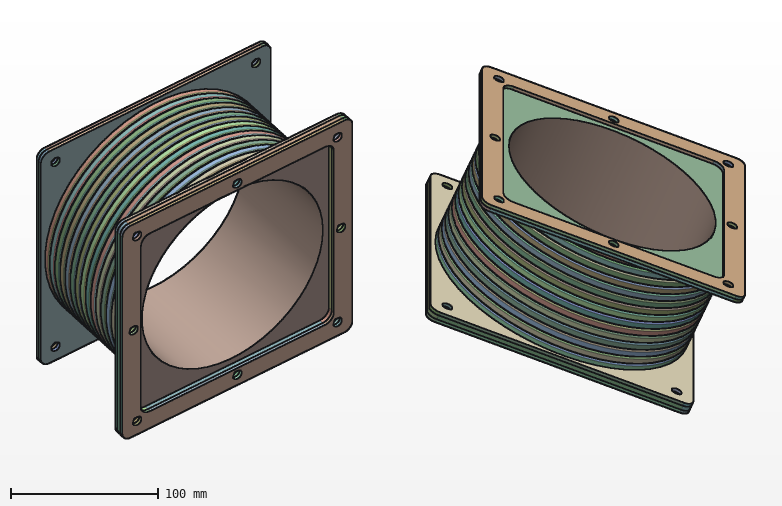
import cadquery as cq
import math

side = 193.7
total_length = 98.4
bore_diameter = 152.5
barrel_diameter = 186.9

frame_thickness = 2.5
flange_thickness = 2.5
gasket_thickness = 3.3

plate_corner_radius = 6.8
flange_corner_radius = 7.2

window_side = 162.5
window_corner_radius = 7.5

hole_diameter = 7.2
corner_hole_inset = 12.4
middle_hole_inset = 9.5

groove_count = 14
shoulder_radius = 1.25
end_groove_offset = 4.5

frame_start = -total_length / 2
spool_start = frame_start + frame_thickness
cover_start = total_length / 2 - frame_thickness
gasket_start = cover_start - gasket_thickness
spool_length = gasket_start - spool_start
barrel_start = spool_start + flange_thickness
barrel_length = spool_length - 2 * flange_thickness
groove_pitch = (barrel_length - 2 * end_groove_offset) / (groove_count - 1)


def rounded_square(start, thickness, width, corner_radius):
    """Square slab across X with its four corners rounded."""
    return (
        cq.Workplane("YZ", origin=(start, 0, 0))
        .rect(width, width)
        .extrude(thickness)
        .edges("|X")
        .fillet(corner_radius)
    )


def cylinder(start, length, diameter):
    """Cylinder on the X axis."""
    return cq.Workplane("YZ", origin=(start, 0, 0)).circle(diameter / 2).extrude(length)


def bolt_holes():
    """Four corner holes and four mid-side holes running the full length of the part."""
    corner = side / 2 - corner_hole_inset
    middle = side / 2 - middle_hole_inset
    corners = [(y, z) for y in (-corner, corner) for z in (-corner, corner)]
    middles = [(-middle, 0), (middle, 0), (0, -middle), (0, middle)]
    return (
        cq.Workplane("YZ", origin=(frame_start, 0, 0))
        .pushPoints(corners + middles)
        .circle(hole_diameter / 2)
        .extrude(total_length)
    )


def barrel_groove(centre_x):
    """Ring that cuts one groove: two quarter-round shoulders meeting in a cusp at the bottom."""
    barrel_radius = barrel_diameter / 2
    bottom = barrel_radius - shoulder_radius
    arc_inset = shoulder_radius * (1 - math.sqrt(0.5))
    return (
        cq.Workplane("XY")
        .moveTo(centre_x - shoulder_radius, barrel_radius)
        .threePointArc((centre_x - arc_inset, barrel_radius - arc_inset), (centre_x, bottom))
        .threePointArc(
            (centre_x + arc_inset, barrel_radius - arc_inset),
            (centre_x + shoulder_radius, barrel_radius),
        )
        .close()
        .revolve(360, (0, 0), (1, 0))
    )


def make_frame(start, thickness):
    """Square plate with a square window and bolt holes."""
    plate = rounded_square(start, thickness, side, plate_corner_radius)
    window = rounded_square(start, thickness, window_side, window_corner_radius)
    return plate.cut(window).cut(bolt_holes())


def make_spool():
    """Grooved barrel with a square flange at each end and a bore through it."""
    spool = cylinder(barrel_start, barrel_length, barrel_diameter)
    for flange_start in (spool_start, barrel_start + barrel_length):
        spool = spool.union(rounded_square(flange_start, flange_thickness, side, flange_corner_radius))
    first_groove = barrel_start + end_groove_offset
    for index in range(groove_count):
        spool = spool.cut(barrel_groove(first_groove + index * groove_pitch))
    bore = cylinder(spool_start, spool_length, bore_diameter)
    return spool.cut(bore).cut(bolt_holes())


end_frame = make_frame(frame_start, frame_thickness)
spool = make_spool()
gasket = make_frame(gasket_start, gasket_thickness)
cover = make_frame(cover_start, frame_thickness)

result = cq.Compound.makeCompound([end_frame.val(), spool.val(), gasket.val(), cover.val()])